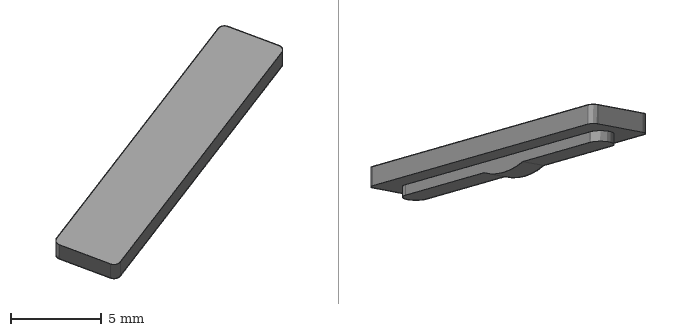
import cadquery as cq
import math

plate_length = 19.7
plate_width = 4.0
plate_thickness = 1.1
plate_corner_radius = 0.4

rail_end_inset = 1.0
rail_length = plate_length - 2 * rail_end_inset
rail_width = 1.5
rail_height = 0.6

bump_height = 0.3
bump_radius = 5.0
bump_center_y = -0.5

rail_bottom = -rail_height
bump_bottom = rail_bottom - bump_height


def make_plate():
    """Flat plate with rounded vertical corners."""
    plate = cq.Workplane("XY").rect(plate_width, plate_length).extrude(plate_thickness)
    return plate.edges("|Z").fillet(plate_corner_radius)


def make_rail():
    """Slot-shaped rail running along Y, hanging below the plate."""
    return cq.Workplane("XY").slot2D(rail_length, rail_width, angle=90).extrude(-rail_height)


def make_bump():
    """Arc segment across the full rail width, filled up to the plate."""
    half_chord = math.sqrt(bump_radius**2 - (bump_radius - bump_height) ** 2)
    start_y = bump_center_y - half_chord
    end_y = bump_center_y + half_chord
    return (
        cq.Workplane("YZ")
        .moveTo(start_y, 0)
        .lineTo(start_y, rail_bottom)
        .threePointArc((bump_center_y, bump_bottom), (end_y, rail_bottom))
        .lineTo(end_y, 0)
        .close()
        .extrude(rail_width / 2, both=True)
    )


result = make_plate().union(make_rail()).union(make_bump()).clean()